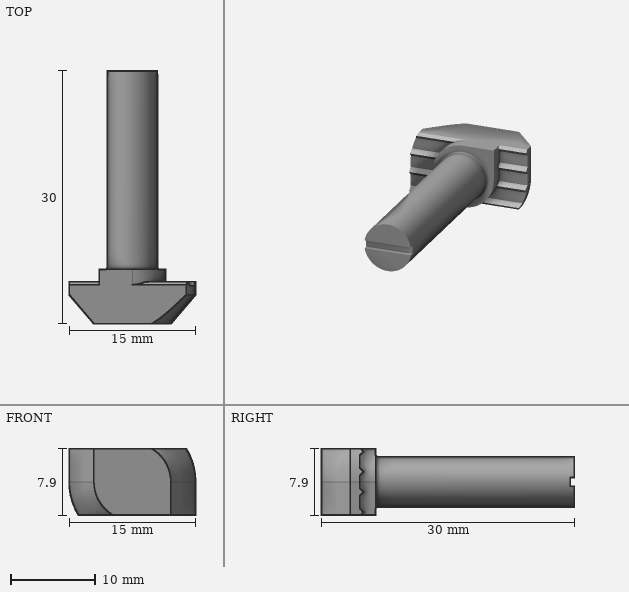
import cadquery as cq

total_length = 30.0
head_length = 15.0
head_width = 7.9
half_length = head_length / 2
half_width = head_width / 2

front_half_length = 4.55
shoulder_y = 3.45
clamp_y = 4.53
neck_end_y = 6.45

tooth_height = 0.48
tooth_half_base = 0.48
tooth_pitch = 2.4
tooth_count = 4

shank_radius = 3.0
root_fillet = 0.2
slot_width = 1.0
slot_depth = 0.48


def block(x_min, x_max, y_min, y_max, z_min, z_max):
    """Axis-aligned box between the given limits."""
    size = (x_max - x_min, y_max - y_min, z_max - z_min)
    return cq.Workplane("XY").box(*size, centered=False).translate((x_min, y_min, z_min))


def square_quadrants(size, y_min, y_max):
    """The two diagonally opposite quarters that keep their square corners."""
    upper_left = block(-size, 0, y_min, y_max, 0, size)
    lower_right = block(0, size, y_min, y_max, -size, 0)
    return upper_left.union(lower_right)


def make_head():
    """Tapered bar with ridged clamping faces and two diagonally opposite corners turned round."""
    tip_y = clamp_y + tooth_height
    half_outline = [
        (0, 0),
        (front_half_length, 0),
        (half_length, shoulder_y),
        (half_length, tip_y),
        (0, tip_y),
    ]
    turned = cq.Workplane("XY").polyline(half_outline).close().revolve(360, (0, 0), (0, 1))
    tapered_right = (
        cq.Workplane("XY").workplane(offset=-half_width).polyline(half_outline).close().extrude(head_width)
    )
    tapered = tapered_right.union(tapered_right.mirror("YZ"))
    envelope = turned.union(tapered.intersect(square_quadrants(half_length, 0, tip_y)))

    bar = block(-half_length, half_length, 0, clamp_y, -half_width, half_width)
    for index in range(tooth_count):
        tooth_z = (index - (tooth_count - 1) / 2) * tooth_pitch
        tooth = (
            cq.Workplane("YZ")
            .workplane(offset=-half_length)
            .moveTo(clamp_y, tooth_z - tooth_half_base)
            .lineTo(tip_y, tooth_z)
            .lineTo(clamp_y, tooth_z + tooth_half_base)
            .close()
            .extrude(head_length)
        )
        bar = bar.union(tooth)
    side_limits = block(-half_length, half_length, 0, tip_y, -half_width, half_width)
    return bar.intersect(envelope).intersect(side_limits)


def make_neck():
    """Anti-rotation neck: round, with two diagonally opposite square corners."""
    round_core = (
        cq.Workplane("XZ", origin=(0, clamp_y, 0)).circle(half_width).extrude(clamp_y - neck_end_y)
    )
    return round_core.union(square_quadrants(half_width, clamp_y, neck_end_y))


def make_shank():
    """Round shank with a root fillet and a position-marking slot across its end."""
    shank = (
        cq.Workplane("XY")
        .moveTo(0, neck_end_y)
        .lineTo(shank_radius + root_fillet, neck_end_y)
        .radiusArc((shank_radius, neck_end_y + root_fillet), root_fillet)
        .lineTo(shank_radius, total_length)
        .lineTo(0, total_length)
        .close()
        .revolve(360, (0, 0), (0, 1))
    )
    slot = block(
        -shank_radius,
        shank_radius,
        total_length - slot_depth,
        total_length,
        -slot_width / 2,
        slot_width / 2,
    )
    return shank.cut(slot)


result = make_head().union(make_neck()).union(make_shank())